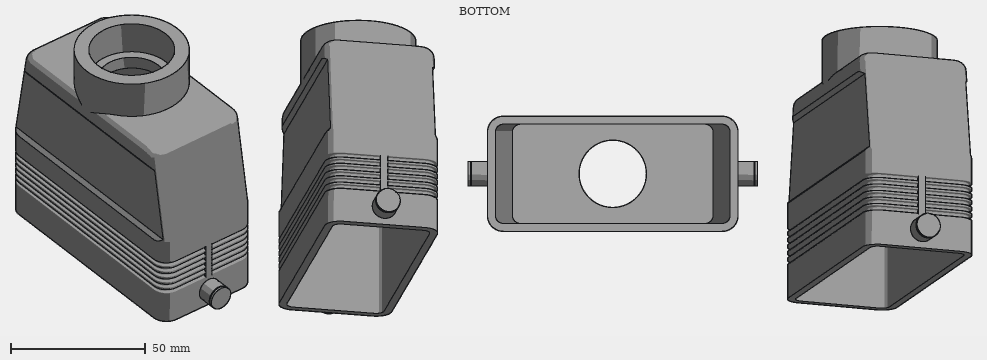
import cadquery as cq
import math

body_length = 93.5
body_width = 43.0
body_height = 76.0
taper_start = 37.0
taper_angle = 10.0
corner_radius = 6.0
top_edge_radius = 4.0

wall = 3.0
cavity_length = body_length - 2 * wall
cavity_width = body_width - 2 * wall
cavity_height = body_height - wall
cavity_corner_radius = corner_radius - wall

recess_depth = 1.5
recess_bottom = 36.5
recess_top = 68.6

collar_radius = body_width / 2
collar_bottom = body_height - top_edge_radius
collar_top = 91.0
socket_radius = 16.0
socket_floor = 78.0
entry_radius = 12.5

groove_count = 6
groove_pitch = 2.5
lowest_groove = 14.0
groove_half_width = 1.0
groove_depth = 1.0
groove_lip_radius = 0.3
groove_root_radius = 0.5
groove_gap = 2.8
groove_overshoot = 1.0

pin_span = 108.0
pin_radius = 4.6
pin_height = 7.0
pin_root = wall / 2
pin_groove_offset = 1.0
pin_groove_width = 0.3
pin_groove_depth = 0.1


def hood_block(length, width, height, radius):
    """Solid block with leaning upper end walls and rounded corner edges."""
    half_length = length / 2
    top_inset = (height - taper_start) * math.tan(math.radians(taper_angle))
    half_top = half_length - top_inset
    outline = [
        (-half_length, 0),
        (half_length, 0),
        (half_length, taper_start),
        (half_top, height),
        (-half_top, height),
        (-half_length, taper_start),
    ]
    block = cq.Workplane("XZ").polyline(outline).close().extrude(width / 2, both=True)
    return block.edges("not(|X or |Y)").fillet(radius)


def body():
    block = hood_block(body_length, body_width, body_height, corner_radius)
    return block.faces(">Z").edges().fillet(top_edge_radius)


def upright_cylinder(radius, bottom, top):
    return cq.Workplane("XY", origin=(0, 0, bottom)).circle(radius).extrude(top - bottom)


def side_recess(side):
    """Cutter for the recess on the long side given by the sign of Y."""
    outer = side * body_width / 2
    inner = side * (body_width / 2 - recess_depth)
    section = [
        (outer, recess_bottom),
        (inner, recess_bottom + recess_depth),
        (inner, recess_top - recess_depth),
        (outer, recess_top),
    ]
    return cq.Workplane("YZ").polyline(section).close().extrude(body_length / 2, both=True)


def groove_section(height):
    """Groove profile on the -Y wall: rounded lips, straight flanks and a rounded root."""
    flank = groove_half_width - groove_lip_radius
    root_start = groove_depth - groove_root_radius
    root_half = flank - groove_root_radius
    return (
        cq.Workplane("YZ", origin=(0, -body_width / 2, height))
        .moveTo(-groove_overshoot, -groove_half_width)
        .lineTo(-groove_overshoot, groove_half_width)
        .lineTo(0, groove_half_width)
        .radiusArc((groove_lip_radius, flank), -groove_lip_radius)
        .lineTo(root_start, flank)
        .radiusArc((groove_depth, root_half), groove_root_radius)
        .lineTo(groove_depth, -root_half)
        .radiusArc((root_start, -flank), groove_root_radius)
        .lineTo(groove_lip_radius, -flank)
        .radiusArc((0, -groove_half_width), -groove_lip_radius)
        .close()
    )


def grip_groove(base_outline, height):
    """Groove cutter following the base outline, interrupted in the middle of both end walls."""
    path = base_outline.translate((0, 0, height))
    ring = groove_section(height).sweep(path)
    strip = cq.Workplane("XY", origin=(0, 0, height)).box(2 * body_length, groove_gap, 4 * groove_half_width)
    return ring.cut(strip)


def pin(side):
    """Locking pin on the end given by the sign of X, with a fine groove near its tip."""
    root = body_length / 2 - pin_root
    tip = pin_span / 2
    shaft = (
        cq.Workplane("YZ", origin=(side * root, 0, pin_height))
        .circle(pin_radius)
        .extrude(side * (tip - root))
    )
    ring = (
        cq.Workplane("YZ", origin=(side * (tip - pin_groove_offset), 0, pin_height))
        .circle(pin_radius + pin_groove_depth)
        .circle(pin_radius - pin_groove_depth)
        .extrude(-side * pin_groove_width)
    )
    return shaft.cut(ring)


hood = body()
base_outline = hood.faces("<Z").wires()
result = hood.union(upright_cylinder(collar_radius, collar_bottom, collar_top))

for number in range(groove_count):
    result = result.cut(grip_groove(base_outline, lowest_groove + number * groove_pitch))

for side in (-1, 1):
    result = result.cut(side_recess(side)).union(pin(side))

result = result.cut(hood_block(cavity_length, cavity_width, cavity_height, cavity_corner_radius))
result = result.cut(upright_cylinder(entry_radius, 0, collar_top))
result = result.cut(upright_cylinder(socket_radius, socket_floor, collar_top))